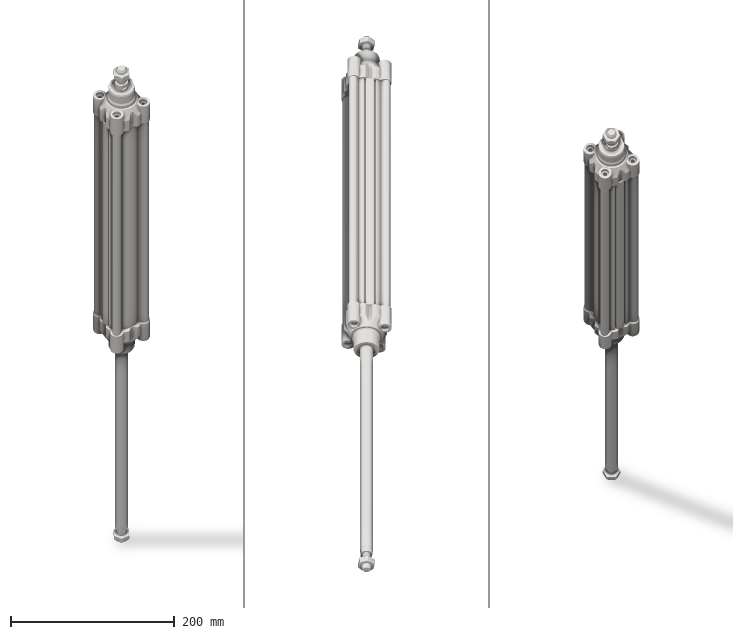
import cadquery as cq
import math

TOTAL_LENGTH = 853.0
CAP_WIDTH = 55.0
BARREL_LENGTH = 362.5
CAP_LENGTH = 31.0
LOWER_CAP_END = 374.5
BARREL_BOTTOM = LOWER_CAP_END + CAP_LENGTH
BARREL_TOP = BARREL_BOTTOM + BARREL_LENGTH

BORE_DIAMETER = 40.0
TUBE_DIAMETER = 44.0
RAIL_DIAMETER = 49.5
BARREL_WIDTH = 51.0
RIDGE_DIAMETER = 10.0
RIDGE_SPACING = (BARREL_WIDTH - RIDGE_DIAMETER) / 2
RAIL_WIDTH = 29.0
SLOT_SPACING = 6.4
SLOT_WIDTH = 2.5
SLOT_MOUTH = 5.0
SLOT_MOUTH_DEPTH = 1.0
SLOT_DEPTH = 3.0

POST_DIAMETER = 16.0
POST_SPACING = (CAP_WIDTH - POST_DIAMETER) / 2
HUB_DIAMETER = CAP_WIDTH
HUB_TAPER_LENGTH = 13.0
HUB_END_DIAMETER = 40.0
HUB_RISE = 1.0
GROOVE_MOUTH = 12.0
GROOVE_FLOOR = 3.0
GROOVE_FLOOR_RADIUS = 23.0
SCREW_HEAD_DIAMETER = 10.0
SCREW_HEAD_DEPTH = 4.0
SCREW_SOCKET_DIAMETER = 4.95
SCREW_SOCKET_DEPTH = 3.0

COLLAR_LENGTH = 22.0
COLLAR_BASE_DIAMETER = 35.0
COLLAR_BASE_LENGTH = 5.0
COLLAR_DIAMETER = 32.0
COLLAR_CHAMFER_LENGTH = 2.5
COLLAR_END_DIAMETER = 31.0
SEAL_RECESS_DIAMETER = 26.0
SEAL_RECESS_DEPTH = 2.0

ROD_DIAMETER = 16.0
ROD_END_RELIEF = 0.2
ROD_END_LENGTH = 31.5
THREAD_DIAMETER = 12.0
THREAD_LENGTH = 24.0
RELIEF_DIAMETER = 11.0
RELIEF_LENGTH = 2.5
TIP_DIAMETER = 8.5
TIP_LENGTH = 3.0
FLAT_SPACING = 14.0
FLAT_LENGTH = 6.0
NUT_ACROSS_FLATS = 19.0
NUT_HEIGHT = 8.0
NUT_FROM_TIP = 6.0


def disc(diameter, length, bottom=0.0):
    return cq.Workplane("XY").workplane(offset=bottom).circle(diameter / 2).extrude(length)


def block(x_size, y_size, z_size, bottom=0.0):
    box = cq.Workplane("XY").box(x_size, y_size, z_size, centered=(True, True, False))
    return box.translate((0, 0, bottom))


def corner_points(spacing):
    return [(x, y) for x in (-spacing, spacing) for y in (-spacing, spacing)]


def mirrored_to_lower_end(body):
    """Turn a body at the upper end over, so that its outer side faces down."""
    return body.mirror("XY")


def corner_ridge(x_side, y_side):
    """Round ridge that runs into the tube with straight sides."""
    across = RIDGE_SPACING * math.sqrt(2)
    round_edge = cq.Workplane("XY").center(across, 0).circle(RIDGE_DIAMETER / 2).extrude(BARREL_LENGTH)
    web = block(across, RIDGE_DIAMETER, BARREL_LENGTH).translate((across / 2, 0, 0))
    angle = math.degrees(math.atan2(y_side, x_side))
    return round_edge.union(web).rotate((0, 0, 0), (0, 0, 1), angle)


def make_slot(x):
    """Sensor slot with sloped lips, open to +Y and centred on the given x."""
    surface = math.sqrt((RAIL_DIAMETER / 2) ** 2 - x**2)
    lip_bottom = surface - SLOT_MOUTH_DEPTH
    outline = [
        (x - SLOT_MOUTH / 2, RAIL_DIAMETER / 2),
        (x - SLOT_MOUTH / 2, surface),
        (x - SLOT_WIDTH / 2, lip_bottom),
        (x - SLOT_WIDTH / 2, surface - SLOT_DEPTH),
        (x + SLOT_WIDTH / 2, surface - SLOT_DEPTH),
        (x + SLOT_WIDTH / 2, lip_bottom),
        (x + SLOT_MOUTH / 2, surface),
        (x + SLOT_MOUTH / 2, RAIL_DIAMETER / 2),
    ]
    return cq.Workplane("XY").polyline(outline).close().extrude(BARREL_LENGTH)


def make_barrel():
    barrel = disc(TUBE_DIAMETER, BARREL_LENGTH)
    rails = disc(RAIL_DIAMETER, BARREL_LENGTH).intersect(block(RAIL_WIDTH, BARREL_WIDTH, BARREL_LENGTH))
    barrel = barrel.union(rails)
    for x_side, y_side in corner_points(1):
        barrel = barrel.union(corner_ridge(x_side, y_side))
    for x, y_side in corner_points(SLOT_SPACING):
        turn = 0 if y_side > 0 else 180
        barrel = barrel.cut(make_slot(x).rotate((0, 0, 0), (0, 0, 1), turn))
    return barrel.cut(disc(BORE_DIAMETER, BARREL_LENGTH))


def make_hub():
    """Round middle of the cap: straight, then tapering to the raised outer face."""
    end = CAP_LENGTH + HUB_RISE
    profile = [
        (0, 0),
        (HUB_DIAMETER / 2, 0),
        (HUB_DIAMETER / 2, end - HUB_TAPER_LENGTH),
        (HUB_END_DIAMETER / 2, end),
        (0, end),
    ]
    return cq.Workplane("XZ").polyline(profile).close().revolve(360, (0, 0), (0, 1))


def make_groove():
    """Sloped-side groove down the middle of one cap face; its floor follows the hub."""
    outside = CAP_WIDTH / 2
    rim = math.sqrt((HUB_DIAMETER / 2) ** 2 - (GROOVE_MOUTH / 2) ** 2)
    floor = math.sqrt(GROOVE_FLOOR_RADIUS**2 - (GROOVE_FLOOR / 2) ** 2)
    groove = (
        cq.Workplane("XY")
        .moveTo(outside, -GROOVE_MOUTH / 2)
        .lineTo(rim, -GROOVE_MOUTH / 2)
        .lineTo(floor, -GROOVE_FLOOR / 2)
        .threePointArc((GROOVE_FLOOR_RADIUS, 0), (floor, GROOVE_FLOOR / 2))
        .lineTo(rim, GROOVE_MOUTH / 2)
        .lineTo(outside, GROOVE_MOUTH / 2)
        .close()
    )
    return groove.extrude(CAP_LENGTH)


def make_collar():
    start = CAP_LENGTH + HUB_RISE
    end = CAP_LENGTH + COLLAR_LENGTH
    base_end = CAP_LENGTH + COLLAR_BASE_LENGTH
    profile = [
        (0, start),
        (COLLAR_BASE_DIAMETER / 2, start),
        (COLLAR_BASE_DIAMETER / 2, base_end),
        (COLLAR_DIAMETER / 2, base_end + COLLAR_CHAMFER_LENGTH),
        (COLLAR_DIAMETER / 2, end - COLLAR_CHAMFER_LENGTH),
        (COLLAR_END_DIAMETER / 2, end),
        (0, end),
    ]
    return cq.Workplane("XZ").polyline(profile).close().revolve(360, (0, 0), (0, 1))


def make_cap():
    """Cap with its inner face at height zero and its collar pointing up."""
    post_axes = cq.Workplane("XY").pushPoints(corner_points(POST_SPACING))
    cap = make_hub().union(post_axes.circle(POST_DIAMETER / 2).extrude(CAP_LENGTH))
    for turn in range(4):
        cap = cap.cut(make_groove().rotate((0, 0, 0), (0, 0, 1), 90 * turn))
    for x, y in corner_points(POST_SPACING):
        head = disc(SCREW_HEAD_DIAMETER, SCREW_HEAD_DEPTH, CAP_LENGTH - SCREW_HEAD_DEPTH)
        socket_bottom = CAP_LENGTH - SCREW_HEAD_DEPTH - SCREW_SOCKET_DEPTH
        socket = disc(SCREW_SOCKET_DIAMETER, SCREW_SOCKET_DEPTH, socket_bottom)
        cap = cap.cut(head.union(socket).translate((x, y, 0)))
    cap = cap.union(make_collar())
    collar_end = CAP_LENGTH + COLLAR_LENGTH
    cap = cap.cut(disc(SEAL_RECESS_DIAMETER, SEAL_RECESS_DEPTH, collar_end - SEAL_RECESS_DEPTH))
    return cap.cut(disc(ROD_DIAMETER, collar_end))


def make_rod():
    """Round rod, symmetric about its middle, with wrench flats on the X sides of both ends."""
    end_radius = ROD_DIAMETER / 2 - ROD_END_RELIEF
    half = TOTAL_LENGTH / 2
    shoulder = half - THREAD_LENGTH
    upper = [
        (ROD_DIAMETER / 2, half - ROD_END_LENGTH),
        (end_radius, half - ROD_END_LENGTH),
        (end_radius, shoulder),
        (RELIEF_DIAMETER / 2, shoulder),
        (RELIEF_DIAMETER / 2, shoulder + RELIEF_LENGTH),
        (THREAD_DIAMETER / 2, shoulder + RELIEF_LENGTH),
        (THREAD_DIAMETER / 2, half - TIP_LENGTH),
        (TIP_DIAMETER / 2, half),
        (0, half),
    ]
    lower = [(radius, -height) for radius, height in reversed(upper)]
    rod = cq.Workplane("XZ").polyline(lower + upper).close().revolve(360, (0, 0), (0, 1))
    for x_side in (-1, 1):
        for flat_bottom in (shoulder - FLAT_LENGTH, -shoulder):
            beside_flat = block(ROD_DIAMETER, ROD_DIAMETER, FLAT_LENGTH, flat_bottom)
            x = x_side * (FLAT_SPACING + ROD_DIAMETER) / 2
            rod = rod.cut(beside_flat.translate((x, 0, 0)))
    return rod.translate((0, 0, half))


def make_nut():
    """Hexagon nut with flats on the X sides, its upper corners chamfered."""
    across_corners = NUT_ACROSS_FLATS / math.cos(math.radians(30))
    chamfer = (across_corners - NUT_ACROSS_FLATS) / 2
    hexagon = cq.Workplane("XY").polygon(6, across_corners).extrude(NUT_HEIGHT)
    hexagon = hexagon.rotate((0, 0, 0), (0, 0, 1), 30)
    envelope = disc(across_corners, NUT_HEIGHT).faces(">Z").chamfer(chamfer)
    return hexagon.intersect(envelope).cut(disc(THREAD_DIAMETER, NUT_HEIGHT))


barrel = make_barrel().translate((0, 0, BARREL_BOTTOM))
upper_cap = make_cap().translate((0, 0, BARREL_TOP))
lower_cap = mirrored_to_lower_end(make_cap()).translate((0, 0, BARREL_BOTTOM))
rod = make_rod()
nut_bottom = TOTAL_LENGTH - NUT_FROM_TIP - NUT_HEIGHT
upper_nut = make_nut().translate((0, 0, nut_bottom))
lower_nut = mirrored_to_lower_end(make_nut()).translate((0, 0, TOTAL_LENGTH - nut_bottom))

result = cq.Compound.makeCompound(
    [barrel.val(), upper_cap.val(), lower_cap.val(), rod.val(), upper_nut.val(), lower_nut.val()]
)